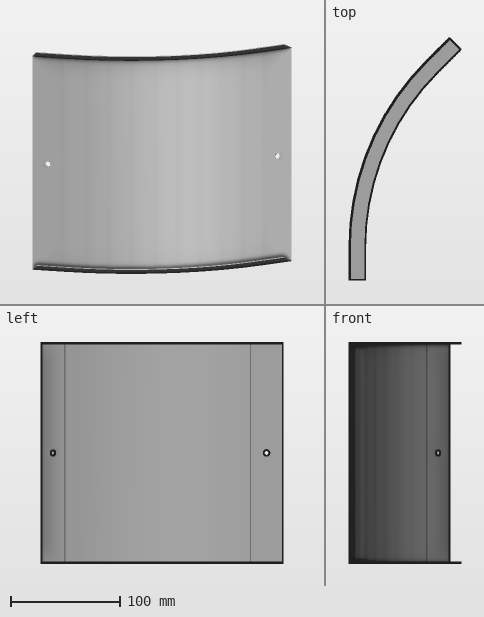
import cadquery as cq
import math

sheet_thickness = 0.8
height = 202.0
straight_length = 30.0
bend_radius = 240.92
bend_angle = 45.0
flange_width = 14.8
hole_diameter = 5.0

turn = math.radians(bend_angle)
bend_center = (bend_radius, straight_length)


def point_on_bend(depth, angle):
    """Point a given depth inside the outer bend, turned by angle from its start."""
    radius = bend_radius - depth
    return (
        bend_center[0] - radius * math.cos(angle),
        bend_center[1] + radius * math.sin(angle),
    )


def far_end(depth):
    """End of the straight run beyond the bend, at a given depth behind the outer face."""
    x, y = point_on_bend(depth, turn)
    return (
        x + straight_length * math.sin(turn),
        y + straight_length * math.cos(turn),
    )


def curved_strip(width, strip_height):
    """Straight, bend, straight strip of a given width behind the outer face, standing on Z = 0."""
    return (
        cq.Workplane("XY")
        .moveTo(0, 0)
        .lineTo(0, straight_length)
        .threePointArc(point_on_bend(0, turn / 2), point_on_bend(0, turn))
        .lineTo(*far_end(0))
        .lineTo(*far_end(width))
        .lineTo(*point_on_bend(width, turn))
        .threePointArc(point_on_bend(width, turn / 2), (width, straight_length))
        .lineTo(width, 0)
        .close()
        .extrude(strip_height)
    )


def mounting_hole(x, y, face_turn):
    """Cutter through the web, centred on a point of its outer face and along the face normal."""
    inward = cq.Vector(math.cos(face_turn), -math.sin(face_turn), 0)
    start = cq.Vector(x, y, height / 2) - inward * sheet_thickness
    cutter_length = 3 * sheet_thickness
    return cq.Solid.makeCylinder(hole_diameter / 2, cutter_length, start, inward)


web = curved_strip(sheet_thickness, height)
bottom_flange = curved_strip(flange_width, sheet_thickness)
top_flange = bottom_flange.translate((0, 0, height - sheet_thickness))
shell = web.union(bottom_flange).union(top_flange)

bend_end = point_on_bend(0, turn)
run_end = far_end(0)
near_hole = mounting_hole(0, straight_length / 2, 0)
far_hole_x = (bend_end[0] + run_end[0]) / 2
far_hole_y = (bend_end[1] + run_end[1]) / 2
far_hole = mounting_hole(far_hole_x, far_hole_y, turn)

result = shell.cut(near_hole).cut(far_hole)